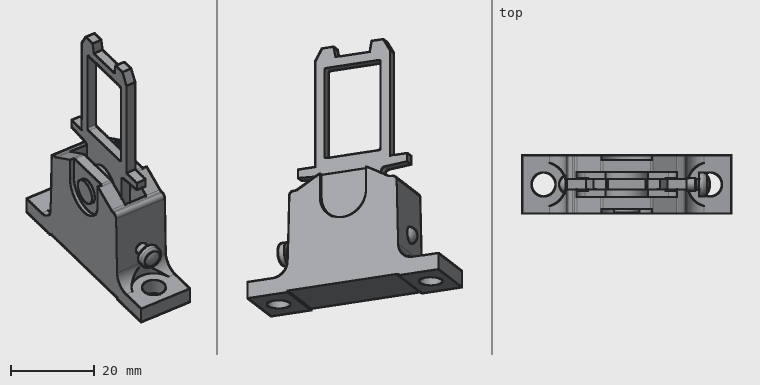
import cadquery as cq
import math

foot_length = 50.0
depth = 14.0
flange_height = 4.15
relief_height = 0.4
relief_half_width = 14.5
wall_base_half_width = 14.55
shoulder_half_width = 14.05
shoulder_height = 25.6
shoulder_radius = 1.15
foot_fillet = 4.0
peak_height = 29.0
peak_half_width = 6.05
slope_end_half_width = 12.2
slope_blend_radius = 1.25

hole_spacing = 39.8
hole_diameter = 5.7
clearance_radius = 5.35
clearance_height = foot_fillet

pocket_half_length = 12.0
pocket_width = 6.0
pocket_floor = flange_height
pocket_corner_radius = 2.0

pivot_height = 23.05
hub_radius = 5.05
recess_radius = 6.05
recess_depth = 1.15
pin_radius = 3.1
pin_head_length = 0.8

key_thickness = 2.5
key_offset = 0.05
key_top = 63.0
key_bottom = 10.1
prong_tip_outer = 8.0
prong_tip_inner = 5.0
prong_root_inner = 4.5
prong_root_height = 60.3
prong_slope_height = 60.0
frame_half_width = 9.75
arm_half_length = 14.3
arm_top = 33.1
arm_tip_bottom = 30.95
arm_root_bottom = 30.4
neck_half_width = 7.5
neck_fillet = 1.15
window_half_width = 7.3
window_top = 57.85
window_bottom = 34.9
window_radius = 0.5

screw_height = 12.5
screw_inner_end = 9.3
screw_radius = 1.5
screw_neck_radius = 1.3
button_radius = 2.15
button_base = 14.7
button_tip = 16.2
thread_end = 16.3
thread_taper_end = 16.7
knob_radius = 2.85
knob_base = 17.3
knob_side_end = 18.5
knob_edge_radius = 0.7
knob_tip = 19.9


def extrude_along_y(sketch, width):
    """Extrude an XZ outline symmetrically about the plane Y = 0."""
    return sketch.extrude(width / 2, both=True)


def mirrored_outline(right_half):
    """Close an outline from its right half and the same points mirrored in X."""
    left_half = [(-x, z) for x, z in reversed(right_half)]
    return cq.Workplane("XZ").polyline(right_half + left_half).close()


def edges_at(body, points, reach=0.05):
    """Select the edges along Y that pass through (X, Z) points and their mirror images in X."""
    found = []
    for x, z in points:
        for centre_x in (-x, x):
            box = cq.selectors.BoxSelector(
                (centre_x - reach, -depth, z - reach),
                (centre_x + reach, depth, z + reach),
            )
            found += body.edges("|Y").edges(box).vals()
    return body.newObject(found)


def make_housing():
    foot_end = foot_length / 2
    outline = mirrored_outline([
        (relief_half_width, relief_height),
        (relief_half_width, 0),
        (foot_end, 0),
        (foot_end, flange_height),
        (wall_base_half_width, flange_height),
        (shoulder_half_width, shoulder_height),
        (slope_end_half_width, shoulder_height),
        (peak_half_width, peak_height),
    ])
    body = extrude_along_y(outline, depth)
    body = edges_at(body, [(wall_base_half_width, flange_height)]).fillet(foot_fillet)
    body = edges_at(body, [(shoulder_half_width, shoulder_height)]).fillet(shoulder_radius)
    return edges_at(
        body,
        [(slope_end_half_width, shoulder_height), (peak_half_width, peak_height)],
    ).fillet(slope_blend_radius)


def cut_mounting_holes(body):
    hole_places = [(-hole_spacing / 2, 0), (hole_spacing / 2, 0)]
    holes = cq.Workplane("XY").pushPoints(hole_places).circle(hole_diameter / 2).extrude(flange_height)
    clearances = (
        cq.Workplane("XY", origin=(0, 0, flange_height))
        .pushPoints(hole_places)
        .circle(clearance_radius)
        .extrude(clearance_height)
    )
    return body.cut(holes).cut(clearances)


def cut_pocket(body):
    pocket = (
        cq.Workplane("XY", origin=(0, 0, pocket_floor))
        .rect(2 * pocket_half_length, pocket_width)
        .extrude(peak_height - pocket_floor)
        .faces("<Z")
        .edges("|Y")
        .fillet(pocket_corner_radius)
    )
    return body.cut(pocket)


def cut_recesses(body):
    outline = (
        cq.Workplane("XZ")
        .moveTo(-recess_radius, peak_height)
        .lineTo(-recess_radius, pivot_height)
        .threePointArc((0, pivot_height - recess_radius), (recess_radius, pivot_height))
        .lineTo(recess_radius, peak_height)
        .close()
    )
    cutter = extrude_along_y(outline, 2 * recess_depth)
    for face_y in (-depth / 2, depth / 2):
        body = body.cut(cutter.translate((0, face_y, 0)))
    return body


def make_hub():
    return extrude_along_y(cq.Workplane("XZ").center(0, pivot_height).circle(hub_radius), pocket_width)


def make_pin_head():
    return (
        cq.Workplane("XZ", origin=(0, recess_depth - depth / 2, pivot_height))
        .circle(pin_radius)
        .extrude(pin_head_length)
    )


def make_key():
    outline = mirrored_outline([
        (prong_root_inner, prong_root_height),
        (prong_tip_inner, key_top),
        (prong_tip_outer, key_top),
        (frame_half_width, prong_slope_height),
        (frame_half_width, arm_top),
        (arm_half_length, arm_top),
        (arm_half_length, arm_tip_bottom),
        (neck_half_width, arm_root_bottom),
        (neck_half_width, key_bottom),
    ])
    plate = extrude_along_y(outline, key_thickness)
    plate = edges_at(plate, [(neck_half_width, arm_root_bottom)]).fillet(neck_fillet)
    window_outline = (
        cq.Workplane("XZ")
        .center(0, (window_top + window_bottom) / 2)
        .rect(2 * window_half_width, window_top - window_bottom)
    )
    window = extrude_along_y(window_outline, key_thickness).edges("|Y").fillet(window_radius)
    return plate.cut(window).translate((0, key_offset, 0))


def revolve_about_x(profile):
    """Revolve a closed (X, radius) profile about the screw axis."""
    return profile.close().revolve(360, (0, 0, 0), (1, 0, 0)).translate((0, 0, screw_height))


def dome_middle(tip, rim_radius, rise, side):
    """Mid-arc (X, radius) point of a dome ending at X = tip and facing the given side of X."""
    dome_radius = (rim_radius**2 + rise**2) / (2 * rise)
    mid_angle = math.asin(rim_radius / dome_radius) / 2
    return tip - side * dome_radius * (1 - math.cos(mid_angle)), dome_radius * math.sin(mid_angle)


def make_button_screw():
    """Screw on the -X side with a domed button head."""
    profile = (
        cq.Workplane("XZ")
        .moveTo(-screw_inner_end, 0)
        .lineTo(-screw_inner_end, screw_radius)
        .lineTo(-pocket_half_length, screw_radius)
        .lineTo(-pocket_half_length, screw_neck_radius)
        .lineTo(-button_base, screw_neck_radius)
        .lineTo(-button_base, button_radius)
        .threePointArc(
            dome_middle(-button_tip, button_radius, button_tip - button_base, -1),
            (-button_tip, 0),
        )
    )
    return revolve_about_x(profile)


def make_knob_screw():
    """Screw on the +X side with a round-edged, slightly domed knob."""
    rim_x = knob_side_end + knob_edge_radius
    rim_radius = knob_radius - knob_edge_radius
    profile = (
        cq.Workplane("XZ")
        .moveTo(screw_inner_end, 0)
        .lineTo(screw_inner_end, screw_radius)
        .lineTo(thread_end, screw_radius)
        .lineTo(thread_taper_end, screw_neck_radius)
        .lineTo(knob_base, screw_neck_radius)
        .lineTo(knob_base, knob_radius)
        .lineTo(knob_side_end, knob_radius)
        .tangentArcPoint((rim_x, rim_radius), relative=False)
        .threePointArc(dome_middle(knob_tip, rim_radius, knob_tip - rim_x, 1), (knob_tip, 0))
    )
    return revolve_about_x(profile)


housing = cut_recesses(cut_pocket(cut_mounting_holes(make_housing())))
result = (
    housing.union(make_hub())
    .union(make_pin_head())
    .union(make_key())
    .union(make_button_screw())
    .union(make_knob_screw())
)